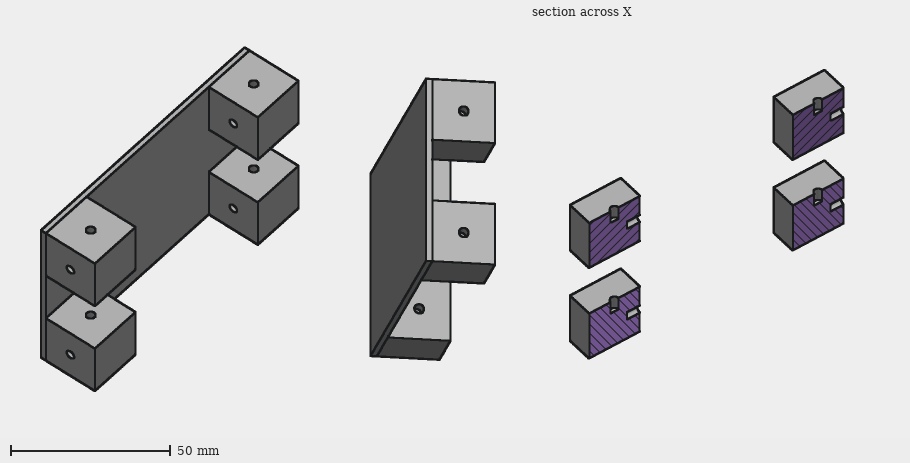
import cadquery as cq

plate_thickness = 2.0
plate_length = 100.0
plate_height = 60.0

block_size = 20.0
hole_diameter = 3.0
hole_depth = 5.0

block_x = plate_thickness + block_size / 2
block_y = (plate_length - block_size) / 2
block_z = (plate_height - block_size) / 2


def make_plate():
    return cq.Workplane("XY").box(
        plate_thickness, plate_length, plate_height, centered=(False, True, True)
    )


def make_block(y, z):
    """Cube with a blind hole in the middle of its -Y face and of its +Z face."""
    block = cq.Workplane("XY").box(block_size, block_size, block_size)
    for face in ("<Y", ">Z"):
        face_plane = block.faces(face).workplane(centerOption="CenterOfBoundBox")
        block = face_plane.hole(hole_diameter, hole_depth)
    return block.translate((block_x, y, z))


plate = make_plate()
blocks = [
    make_block(y, z)
    for y in (-block_y, block_y)
    for z in (-block_z, block_z)
]

result = cq.Compound.makeCompound([plate.val(), *[block.val() for block in blocks]])